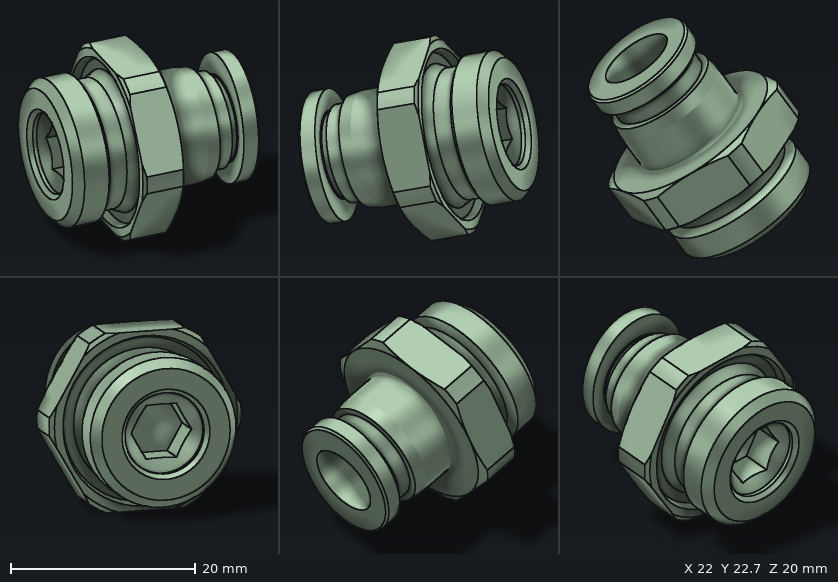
import cadquery as cq
import math

total_length = 22.7

thread_radius = 8.33
thread_chamfer = 1.0
thread_end = 3.9
relief_radius = 7.29
relief_start = 4.5
relief_end = 6.5

hex_front = 7.0
hex_thickness = 5.0
hex_back = hex_front + hex_thickness
hex_flats = 20.0
hex_corner_diameter = 22.0
hex_corner_radius = hex_corner_diameter / 2
front_face_radius = 10.46
front_bevel_depth = 0.25
back_face_radius = 9.99
back_bevel_depth = 0.4

groove_depth = 0.9
groove_mouth_radius = 9.49
groove_floor_radius = 9.15
relief_foot_radius = 7.97

body_radius = 6.5
body_fillet = 0.45
taper_start = 16.5
taper_end = 18.0
taper_tip_radius = 6.25
collar_radius = 5.45
collar_end = 19.8
neck_radius = 4.81
neck_flare = 0.11

button_thickness = 2.0
button_front = total_length - button_thickness
button_half_width = body_radius
button_half_height = 7.5
button_chamfer = 0.25

mouth_radius = 5.02
mouth_chamfer = 0.5
entry_radius = mouth_radius - mouth_chamfer
entry_depth = 0.95
socket_flats = 5.97
socket_end = 4.88
cone_half_angle = 60.0
tube_bore_radius = 4.0


def revolve_profile(points):
    """Turn a closed (radius, y) outline about the Y axis."""
    return cq.Workplane("XY").polyline(points).close().revolve(360, (0, 0, 0), (0, 1, 0))


def hex_prism(flats, start, end):
    """Hexagonal prism along Y, with corners on the X axis."""
    point_diameter = flats / math.cos(math.pi / 6)
    return (
        cq.Workplane("XZ", origin=(0, start, 0))
        .polygon(6, point_diameter)
        .extrude(start - end)
    )


def make_thread_end():
    """Chamfered thread and its relief, widening towards the seal groove floor."""
    groove_floor = hex_front + groove_depth
    return revolve_profile([
        (0, 0),
        (thread_radius - thread_chamfer, 0),
        (thread_radius, thread_chamfer),
        (thread_radius, thread_end),
        (relief_radius, relief_start),
        (relief_radius, relief_end),
        (relief_foot_radius, groove_floor),
        (0, groove_floor),
    ])


def make_flange():
    """Hexagon with turned corners, bevelled on both faces and grooved in front."""
    turned_blank = revolve_profile([
        (0, hex_front),
        (front_face_radius, hex_front),
        (hex_corner_radius, hex_front + front_bevel_depth),
        (hex_corner_radius, hex_back - back_bevel_depth),
        (back_face_radius, hex_back),
        (0, hex_back),
    ])
    groove = revolve_profile([
        (0, hex_front),
        (groove_mouth_radius, hex_front),
        (groove_floor_radius, hex_front + groove_depth),
        (0, hex_front + groove_depth),
    ])
    return hex_prism(hex_flats, hex_front, hex_back).intersect(turned_blank).cut(groove)


def make_body():
    """Stepped body with a fillet at the flange and a small flare under the button."""
    root = hex_back - hex_thickness / 2
    fillet_middle = body_fillet * (1 - math.sqrt(0.5))
    return (
        cq.Workplane("XY")
        .moveTo(0, root)
        .lineTo(body_radius + body_fillet, root)
        .lineTo(body_radius + body_fillet, hex_back)
        .threePointArc(
            (body_radius + fillet_middle, hex_back + fillet_middle),
            (body_radius, hex_back + body_fillet),
        )
        .lineTo(body_radius, taper_start)
        .lineTo(taper_tip_radius, taper_end)
        .lineTo(collar_radius, taper_end)
        .lineTo(collar_radius, collar_end)
        .lineTo(neck_radius, collar_end)
        .lineTo(neck_radius, button_front - neck_flare)
        .lineTo(neck_radius + neck_flare, button_front)
        .lineTo(0, button_front)
        .close()
        .revolve(360, (0, 0, 0), (0, 1, 0))
    )


def make_button():
    """Oval plate, taller than wide, with its rear rim chamfered."""
    return (
        cq.Workplane("XZ", origin=(0, button_front, 0))
        .ellipse(button_half_width, button_half_height)
        .extrude(-button_thickness)
        .faces(">Y")
        .chamfer(button_chamfer)
    )


def make_passage():
    """Chamfered mouth with a conical bottom, hexagonal socket and plain tube bore."""
    cone_length = entry_radius / math.tan(math.radians(cone_half_angle))
    mouth = revolve_profile([
        (0, 0),
        (mouth_radius, 0),
        (entry_radius, mouth_chamfer),
        (entry_radius, entry_depth),
        (0, entry_depth + cone_length),
    ])
    socket = hex_prism(socket_flats, mouth_chamfer, socket_end)
    tube_bore = (
        cq.Workplane("XZ", origin=(0, socket_end, 0))
        .circle(tube_bore_radius)
        .extrude(socket_end - total_length)
    )
    return mouth.union(socket).union(tube_bore)


result = (
    make_flange()
    .union(make_thread_end())
    .union(make_body())
    .union(make_button())
    .cut(make_passage())
)